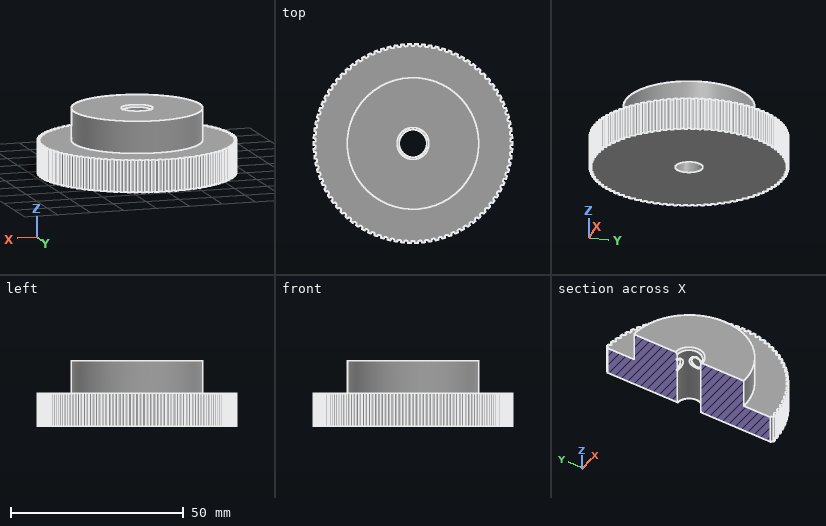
import cadquery as cq

rim_diameter = 57.7
rim_height = 9.5
tooth_count = 90
groove_depth = 0.65
groove_mouth_width = 1.1
groove_floor_width = 0.8
groove_corner_radius = 0.3

hub_diameter = 38.1
hub_height = 9.5

bore_diameter = 7.95
bore_chamfer = 0.65

screw_diameter = 4.15
tip_distance = 4.05
tip_chamfer = 0.4
screw_angles = (0, 90)

total_height = rim_height + hub_height
tooth_pitch_angle = 360.0 / tooth_count


def make_rim():
    """Disc with one rounded trapezoid groove cut between each pair of teeth."""
    rim_radius = rim_diameter / 2
    half_mouth = groove_mouth_width / 2
    half_floor = groove_floor_width / 2
    floor_radius = rim_radius - groove_depth

    outer_radius = rim_radius + groove_depth
    half_outer = 2 * half_mouth - half_floor

    groove = (
        cq.Workplane("XY")
        .polyline([
            (floor_radius, -half_floor),
            (outer_radius, -half_outer),
            (outer_radius, half_outer),
            (floor_radius, half_floor),
        ])
        .close()
        .extrude(rim_height)
        .edges("|Z and <X")
        .fillet(groove_corner_radius)
    )
    grooves = cq.Compound.makeCompound([
        groove.rotate((0, 0, 0), (0, 0, 1), (i + 0.5) * tooth_pitch_angle).val()
        for i in range(tooth_count)
    ])
    return cq.Workplane("XY").circle(rim_radius).extrude(rim_height).cut(cq.Workplane(grooves))


def make_hub():
    """Plain round hub standing on the rim."""
    return cq.Workplane("XY").workplane(offset=rim_height).circle(hub_diameter / 2).extrude(hub_height)


def make_bore():
    """Through bore with a chamfered mouth at the top of the hub."""
    radius = bore_diameter / 2
    mouth_radius = radius + bore_chamfer
    return (
        cq.Workplane("XZ")
        .polyline([
            (0, 0),
            (radius, 0),
            (radius, total_height - bore_chamfer),
            (mouth_radius, total_height),
            (0, total_height),
        ])
        .close()
        .revolve(360, (0, 0, 0), (0, 1, 0))
    )


def make_screw_recess():
    """Round recess along +X, at half the height of the hub, that leaves a chamfered screw tip at its end."""
    recess_radius = screw_diameter / 2
    return (
        cq.Workplane("XZ")
        .polyline([
            (0, 0),
            (0, recess_radius),
            (tip_distance + tip_chamfer, recess_radius),
            (tip_distance, recess_radius - tip_chamfer),
            (tip_distance, 0),
        ])
        .close()
        .revolve(360, (0, 0, 0), (1, 0, 0))
        .translate((0, 0, rim_height + hub_height / 2))
    )


result = make_rim().union(make_hub()).cut(make_bore())
for screw_angle in screw_angles:
    result = result.cut(make_screw_recess().rotate((0, 0, 0), (0, 0, 1), screw_angle))